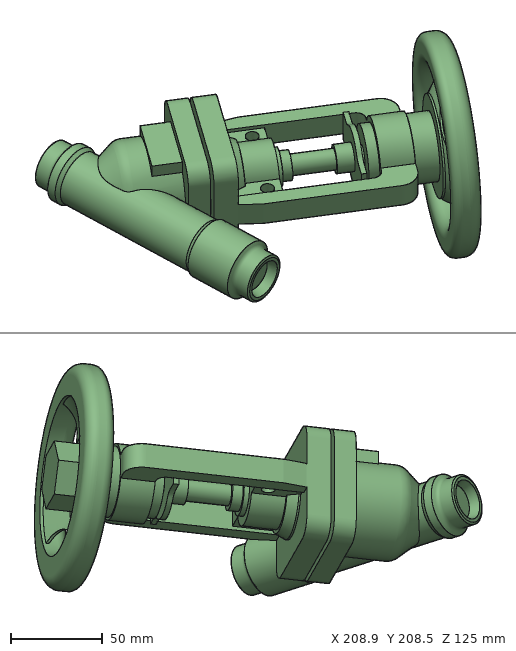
import cadquery as cq
import math

PIPE_LENGTH = 149.8
PIPE_RADIUS = 16.0
SPIGOT_RADIUS = 14.2
SPIGOT_LENGTH = 8.4
SPIGOT_BEVEL = 1.3
SPIGOT_BEVEL_LENGTH = 0.6
THROAT_RADIUS = 15.5
THROAT_LENGTH = 2.3
COLLAR_RADIUS = 17.5
COLLAR_CHAMFER = 1.3
LEFT_COLLAR_END = 17.1
RIGHT_COLLAR_START = 110.3
COLLAR_TAPER = 2.5
BORE_MOUTH_RADIUS = 11.0
BORE_FLOOR_RADIUS = 9.8
BORE_DEPTH = 6.0

STEM_FOOT_X = 34.9
STEM_ANGLE = 50.0

BODY_RADIUS = 26.5
NOSE_FILLET_TOP = 14.6
NOSE_FILLET_BOTTOM = 8.8
NOSE_HALF_ANGLE = 40.0
NOSE_BOTTOM = -4.2
PAD_WIDTH = 33.5
PAD_BOTTOM = 25.3
PAD_FACE = 28.2

FLANGE_SIDE = 67.7
FLANGE_CORNER_RADIUS = 10.0
LOWER_FLANGE_BOTTOM = 42.2
GASKET_BOTTOM = 54.5
GASKET_RADIUS = 25.5
UPPER_FLANGE_BOTTOM = 56.5
UPPER_FLANGE_TOP = 70.0

BONNET_BASE_RADIUS = 20.9
BONNET_BASE_TOP = 71.0
BONNET_CONE_TOP_RADIUS = 18.2
BONNET_CONE_TOP = 77.0
NECK_RADIUS = 16.0
NECK_TOP = 96.5
GLAND_RADIUS = 10.9
GLAND_TOP = 99.5
GLAND_NUT_RADIUS = 8.5
GLAND_NUT_TOP = 105.3
STEM_RADIUS = 6.0
STEM_COLLAR_RADIUS = 8.1
STEM_COLLAR_BOTTOM = 130.1

PLATE_BOTTOM = 140.0
PLATE_TOP = 143.0
PLATE_LENGTH = 51.0
PLATE_END_WIDTH = 20.0
PLATE_DISC_RADIUS = 17.5
PLATE_BLEND_RADIUS = 8.4

YOKE_THICKNESS = 14.5
YOKE_OUTER_WIDTH = 71.9
YOKE_INNER_WIDTH = 53.9
YOKE_TAPER_TOP = 83.5
YOKE_WINDOW_TOP = 151.9
YOKE_TOP = 171.3
YOKE_OUTER_RADIUS = 10.5
YOKE_INNER_RADIUS = 5.5
WEB_THICKNESS = 10.0
WEB_HOLE_RADIUS = 3.8
WEB_HOLE_OFFSET = 21.5
WEB_HOLE_HEIGHT = 88.5

SLEEVE_TIP_RADIUS = 17.5
SLEEVE_TIP_BOTTOM = 145.8
SLEEVE_RADIUS = 21.0
SLEEVE_TOP_RADIUS = 19.6

WHEEL_BOTTOM = 184.9
WHEEL_TOP = 200.5
WHEEL_RADIUS = 62.5
RIM_INNER_RADIUS = 44.3
RIM_FLAT_OUTER = 57.7
RIM_FLAT_INNER = 50.8
RIM_TOP_ROUND = 6.7
HUB_RADIUS = 29.0
HUB_STEP = 1.3
SPOKE_THICKNESS = 1.7
DISH_HEIGHT = 10.9
SPOKE_COUNT = 3
WINDOW_DISTANCE = 29.5
WINDOW_WIDTH = 43.9
WINDOW_CORNER_RADIUS = 6.3
NUT_DIAGONAL = 37.4
NUT_TOP = 206.0


def cylinder(radius, bottom, top):
    return cq.Workplane("XY").workplane(offset=bottom).circle(radius).extrude(top - bottom)


def block(length, width, bottom, top):
    return cq.Workplane("XY").workplane(offset=bottom).rect(length, width).extrude(top - bottom)


def pipe_run():
    bevel_radius = SPIGOT_RADIUS - SPIGOT_BEVEL
    throat_end = SPIGOT_LENGTH + THROAT_LENGTH
    throat_rise = THROAT_RADIUS - SPIGOT_RADIUS
    throat_round = (THROAT_LENGTH**2 + throat_rise**2) / (2 * throat_rise)
    collar_start = throat_end + COLLAR_CHAMFER
    pipe = (
        cq.Workplane("XY")
        .lineTo(0, bevel_radius)
        .lineTo(SPIGOT_BEVEL_LENGTH, SPIGOT_RADIUS)
        .lineTo(SPIGOT_LENGTH, SPIGOT_RADIUS)
        .radiusArc((throat_end, THROAT_RADIUS), -throat_round)
        .lineTo(collar_start, COLLAR_RADIUS)
        .lineTo(LEFT_COLLAR_END, COLLAR_RADIUS)
        .lineTo(LEFT_COLLAR_END + COLLAR_TAPER, PIPE_RADIUS)
        .lineTo(RIGHT_COLLAR_START - COLLAR_TAPER, PIPE_RADIUS)
        .lineTo(RIGHT_COLLAR_START, COLLAR_RADIUS)
        .lineTo(PIPE_LENGTH - collar_start, COLLAR_RADIUS)
        .lineTo(PIPE_LENGTH - throat_end, THROAT_RADIUS)
        .radiusArc((PIPE_LENGTH - SPIGOT_LENGTH, SPIGOT_RADIUS), -throat_round)
        .lineTo(PIPE_LENGTH - SPIGOT_BEVEL_LENGTH, SPIGOT_RADIUS)
        .lineTo(PIPE_LENGTH, bevel_radius)
        .lineTo(PIPE_LENGTH, 0)
        .close()
        .revolve(360, (0, 0), (1, 0))
    )
    bore = (
        cq.Workplane("XY")
        .polyline([(0, 0), (0, BORE_MOUTH_RADIUS), (BORE_DEPTH, BORE_FLOOR_RADIUS), (BORE_DEPTH, 0)])
        .close()
        .revolve(360, (0, 0), (1, 0))
    )
    far_bore = bore.mirror("YZ").translate((PIPE_LENGTH, 0, 0))
    return pipe.cut(bore).cut(far_bore)


def body():
    angle = math.radians(NOSE_HALF_ANGLE)
    fillet_radius = (NOSE_FILLET_TOP - NOSE_FILLET_BOTTOM) / math.sin(angle)
    fillet_centre = BODY_RADIUS - fillet_radius
    cone_top_radius = fillet_centre + fillet_radius * math.cos(angle)
    nose_radius = cone_top_radius - (NOSE_FILLET_BOTTOM - NOSE_BOTTOM) * math.tan(angle)
    fillet_middle = (
        fillet_centre + fillet_radius * math.cos(angle / 2),
        NOSE_FILLET_TOP - fillet_radius * math.sin(angle / 2),
    )
    shell = (
        cq.Workplane("XZ")
        .moveTo(0, NOSE_BOTTOM)
        .lineTo(nose_radius, NOSE_BOTTOM)
        .lineTo(cone_top_radius, NOSE_FILLET_BOTTOM)
        .threePointArc(fillet_middle, (BODY_RADIUS, NOSE_FILLET_TOP))
        .lineTo(BODY_RADIUS, LOWER_FLANGE_BOTTOM)
        .lineTo(0, LOWER_FLANGE_BOTTOM)
        .close()
        .revolve(360, (0, 0), (0, 1))
    )
    pad = block(PAD_WIDTH, PAD_FACE, PAD_BOTTOM, LOWER_FLANGE_BOTTOM).translate((0, PAD_FACE / 2, 0))
    return shell.union(pad)


def flanges():
    lower = block(FLANGE_SIDE, FLANGE_SIDE, LOWER_FLANGE_BOTTOM, GASKET_BOTTOM)
    upper = block(FLANGE_SIDE, FLANGE_SIDE, UPPER_FLANGE_BOTTOM, UPPER_FLANGE_TOP)
    gasket = cylinder(GASKET_RADIUS, GASKET_BOTTOM, UPPER_FLANGE_BOTTOM)
    lower = lower.edges("|Z").fillet(FLANGE_CORNER_RADIUS)
    upper = upper.edges("|Z").fillet(FLANGE_CORNER_RADIUS)
    return lower.union(gasket).union(upper)


def bonnet_and_stem():
    outline = [
        (0, UPPER_FLANGE_TOP),
        (BONNET_BASE_RADIUS, UPPER_FLANGE_TOP),
        (BONNET_BASE_RADIUS, BONNET_BASE_TOP),
        (BONNET_CONE_TOP_RADIUS, BONNET_CONE_TOP),
        (NECK_RADIUS, BONNET_CONE_TOP),
        (NECK_RADIUS, NECK_TOP),
        (GLAND_RADIUS, NECK_TOP),
        (GLAND_RADIUS, GLAND_TOP),
        (GLAND_NUT_RADIUS, GLAND_TOP),
        (GLAND_NUT_RADIUS, GLAND_NUT_TOP),
        (STEM_RADIUS, GLAND_NUT_TOP),
        (STEM_RADIUS, STEM_COLLAR_BOTTOM),
        (STEM_COLLAR_RADIUS, STEM_COLLAR_BOTTOM),
        (STEM_COLLAR_RADIUS, PLATE_BOTTOM),
        (STEM_RADIUS, PLATE_BOTTOM),
        (STEM_RADIUS, SLEEVE_TIP_BOTTOM),
        (0, SLEEVE_TIP_BOTTOM),
    ]
    return cq.Workplane("XZ").polyline(outline).close().revolve(360, (0, 0), (0, 1))


def anti_rotation_plate():
    tongue = block(PLATE_LENGTH, PLATE_END_WIDTH, PLATE_BOTTOM, PLATE_TOP)
    plate = tongue.union(cylinder(PLATE_DISC_RADIUS, PLATE_BOTTOM, PLATE_TOP))
    disc_corners = cq.selectors.BoxSelector(
        (-PLATE_DISC_RADIUS, -PLATE_DISC_RADIUS, PLATE_BOTTOM),
        (PLATE_DISC_RADIUS, PLATE_DISC_RADIUS, PLATE_TOP),
    )
    return plate.edges("|Z").edges(disc_corners).fillet(PLATE_BLEND_RADIUS)


def yoke():
    outer = YOKE_OUTER_WIDTH / 2
    foot = FLANGE_SIDE / 2
    frame = (
        cq.Workplane("XZ")
        .polyline(
            [
                (-foot, UPPER_FLANGE_TOP),
                (-outer, YOKE_TAPER_TOP),
                (-outer, YOKE_TOP),
                (outer, YOKE_TOP),
                (outer, YOKE_TAPER_TOP),
                (foot, UPPER_FLANGE_TOP),
            ]
        )
        .close()
        .extrude(YOKE_THICKNESS / 2, both=True)
    )
    frame = frame.edges("|Y and >Z").fillet(YOKE_OUTER_RADIUS)
    window = block(YOKE_INNER_WIDTH, YOKE_THICKNESS, UPPER_FLANGE_TOP, YOKE_WINDOW_TOP)
    window = window.edges("|Y and >Z").fillet(YOKE_INNER_RADIUS)
    web = block(YOKE_INNER_WIDTH, WEB_THICKNESS, UPPER_FLANGE_TOP, NECK_TOP)
    holes = (
        cq.Workplane("XZ")
        .pushPoints([(-WEB_HOLE_OFFSET, WEB_HOLE_HEIGHT), (WEB_HOLE_OFFSET, WEB_HOLE_HEIGHT)])
        .circle(WEB_HOLE_RADIUS)
        .extrude(YOKE_THICKNESS, both=True)
    )
    return frame.cut(window).union(web.cut(holes))


def sleeve():
    tip = cylinder(SLEEVE_TIP_RADIUS, SLEEVE_TIP_BOTTOM, YOKE_WINDOW_TOP)
    middle = cylinder(SLEEVE_RADIUS, YOKE_WINDOW_TOP, YOKE_TOP)
    top = cylinder(SLEEVE_TOP_RADIUS, YOKE_TOP, WHEEL_BOTTOM)
    return tip.union(middle).union(top)


def handwheel():
    outer_round = WHEEL_RADIUS - RIM_FLAT_OUTER
    inner_round = RIM_FLAT_INNER - RIM_INNER_RADIUS
    rim = (
        cq.Workplane("XZ")
        .moveTo(RIM_FLAT_INNER, WHEEL_BOTTOM)
        .lineTo(RIM_FLAT_OUTER, WHEEL_BOTTOM)
        .radiusArc((WHEEL_RADIUS, WHEEL_BOTTOM + outer_round), -outer_round)
        .lineTo(WHEEL_RADIUS, WHEEL_TOP - RIM_TOP_ROUND)
        .radiusArc((WHEEL_RADIUS - RIM_TOP_ROUND, WHEEL_TOP), -RIM_TOP_ROUND)
        .lineTo(RIM_INNER_RADIUS, WHEEL_TOP)
        .lineTo(RIM_INNER_RADIUS, WHEEL_BOTTOM + inner_round)
        .radiusArc((RIM_FLAT_INNER, WHEEL_BOTTOM), -inner_round)
        .close()
        .revolve(360, (0, 0), (0, 1))
    )
    spoke_foot = WHEEL_BOTTOM + HUB_STEP
    spoke_end = spoke_foot + DISH_HEIGHT
    dish = (
        cq.Workplane("XZ")
        .polyline(
            [
                (0, WHEEL_BOTTOM),
                (HUB_RADIUS, WHEEL_BOTTOM),
                (HUB_RADIUS, spoke_foot),
                (RIM_INNER_RADIUS, spoke_end),
                (RIM_FLAT_INNER, spoke_end),
                (RIM_FLAT_INNER, spoke_end + SPOKE_THICKNESS),
                (RIM_INNER_RADIUS, spoke_end + SPOKE_THICKNESS),
                (HUB_RADIUS, spoke_foot + SPOKE_THICKNESS),
                (0, spoke_foot + SPOKE_THICKNESS),
            ]
        )
        .close()
        .revolve(360, (0, 0), (0, 1))
    )
    window_depth = RIM_FLAT_INNER - WINDOW_DISTANCE
    window = (
        block(2 * window_depth, WINDOW_WIDTH, WHEEL_BOTTOM, WHEEL_TOP)
        .edges("|Z")
        .fillet(WINDOW_CORNER_RADIUS)
        .translate((WINDOW_DISTANCE + window_depth, 0, 0))
    )
    for index in range(SPOKE_COUNT):
        dish = dish.cut(window.rotate((0, 0, 0), (0, 0, 1), index * 360 / SPOKE_COUNT))
    nut = (
        cq.Workplane("XY")
        .workplane(offset=spoke_foot)
        .polygon(6, NUT_DIAGONAL)
        .extrude(NUT_TOP - spoke_foot)
    )
    return rim.union(dish).union(nut)


upright = body()
for piece in (flanges(), bonnet_and_stem(), anti_rotation_plate(), yoke(), sleeve(), handwheel()):
    upright = upright.union(piece)

tilt = math.radians(STEM_ANGLE)
stem_plane = cq.Plane(
    origin=(STEM_FOOT_X, 0, 0),
    xDir=(-math.sin(tilt), math.cos(tilt), 0),
    normal=(math.cos(tilt), math.sin(tilt), 0),
)
valve_top = cq.Workplane("XY").newObject([upright.val().moved(cq.Location(stem_plane))])

result = pipe_run().union(valve_top)